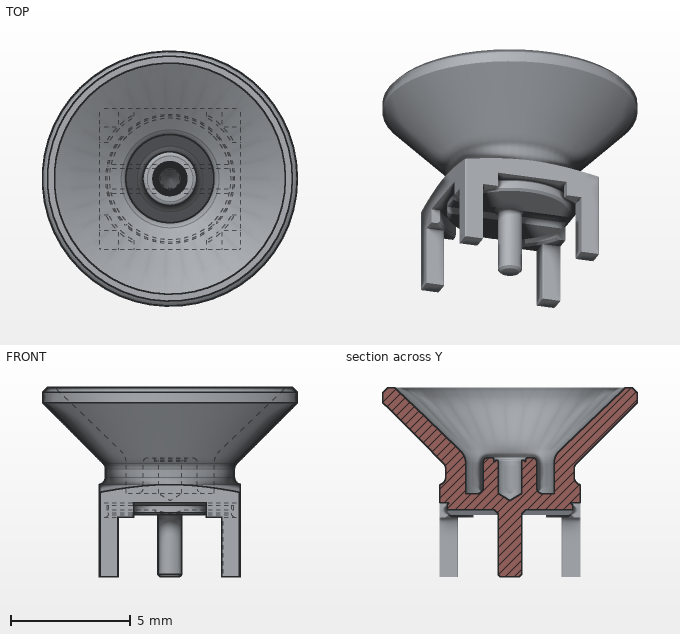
import cadquery as cq
import math

base_width = 5.92
base_corner_chamfer = 0.04
leg_width = 0.79
leg_inner_height = 2.5
window_width = 3.05
window_height = 3.11
shoulder_angle = 15.0
bore_radius = 3.0
bore_chamfer = 0.1

overall_height = 7.95
neck_radius = 2.71
neck_bottom_height = 4.17
neck_fillet = 0.3
rim_radius = 5.35
rim_bottom_height = 7.31
rim_chamfer = 0.21

mouth_radius = 4.85
cavity_radius = 1.85
throat_fillet = 0.7
throat_fillet_bottom = 4.78
cavity_floor_height = 3.5

post_radius = 1.13
post_height = 5.0
post_top_fillet = 0.17
post_foot_fillet = 0.25
recess_radius = 0.66
recess_chamfer = 0.05
contact_height = 4.9
contact_radius = 0.63
contact_chamfer = 0.05
socket_radius = 0.48
socket_chamfer = 0.04
socket_bottom = 3.5
socket_tip_angle = 118.0

bead_radius = 2.65
bead_bottom_height = 2.6
bead_chamfer = 0.1
channel_bottom_width = 1.22
channel_top_width = 0.86
channel_depth = 0.21

pin_radius = 0.5
pin_chamfer = 0.1
pin_flare_height = 2.64

half_width = base_width / 2
corner_radius = half_width * math.sqrt(2)
shoulder_slope = math.radians(shoulder_angle)
foot_radius = neck_radius + neck_fillet * (1 - math.sin(shoulder_slope))
foot_height = neck_bottom_height - neck_fillet * math.cos(shoulder_slope)
channel_top = bead_bottom_height + channel_depth
diagonal = math.sqrt(0.5)


def revolve(sketch):
    """Turn a closed (radius, height) outline about the Z axis."""
    return sketch.close().revolve(360, (0, 0, 0), (0, 1, 0))


def cylinder(radius, bottom, top):
    return cq.Workplane("XY").workplane(offset=bottom).circle(radius).extrude(top - bottom)


def centred_box(size_x, size_y, height):
    return cq.Workplane("XY").box(size_x, size_y, height, centered=(True, True, False))


def base_block(height):
    """Square prism of the base with slightly broken vertical corners."""
    return centred_box(base_width, base_width, height).edges("|Z").chamfer(base_corner_chamfer)


def make_bell():
    """Solid outside of the bell, down to the sloping shoulder of the base."""
    flare_offset = rim_radius - rim_bottom_height
    arc_centre_radius = neck_radius + neck_fillet
    flare_start_radius = arc_centre_radius - neck_fillet * diagonal
    flare_start_height = flare_start_radius - flare_offset
    neck_top_height = flare_start_height - neck_fillet * diagonal

    foot_mid_angle = math.pi + (math.pi / 2 - shoulder_slope) / 2
    foot_mid = (
        arc_centre_radius + neck_fillet * math.cos(foot_mid_angle),
        neck_bottom_height + neck_fillet * math.sin(foot_mid_angle),
    )
    flare_mid_angle = math.radians(180 - 45 / 2)
    flare_mid = (
        arc_centre_radius + neck_fillet * math.cos(flare_mid_angle),
        neck_top_height + neck_fillet * math.sin(flare_mid_angle),
    )
    shoulder_drop = (corner_radius - foot_radius) * math.tan(shoulder_slope)
    skirt_height = foot_height - shoulder_drop
    outline = (
        cq.Workplane("XZ")
        .moveTo(0, window_height)
        .lineTo(corner_radius, window_height)
        .lineTo(corner_radius, skirt_height)
        .lineTo(foot_radius, foot_height)
        .threePointArc(foot_mid, (neck_radius, neck_bottom_height))
        .lineTo(neck_radius, neck_top_height)
        .threePointArc(flare_mid, (flare_start_radius, flare_start_height))
        .lineTo(rim_radius, rim_bottom_height)
        .lineTo(rim_radius, overall_height - rim_chamfer)
        .lineTo(rim_radius - rim_chamfer, overall_height)
        .lineTo(0, overall_height)
    )
    square = base_block(neck_bottom_height)
    above = cylinder(rim_radius, neck_bottom_height, overall_height)
    return revolve(outline).intersect(square.union(above))


def make_legs():
    """Four legs with stepped brackets, hollowed by a round bore that widens between the legs."""
    gap = base_width - 2 * leg_width
    legs = base_block(window_height)
    for step_width, step_height in ((gap, leg_inner_height), (window_width, window_height)):
        legs = legs.cut(centred_box(step_width, base_width, step_height))
        legs = legs.cut(centred_box(base_width, step_width, step_height))
    bore = cylinder(bore_radius, leg_inner_height, window_height)
    lead_in = (
        cq.Workplane("XZ")
        .lineTo(bore_radius + bore_chamfer, 0)
        .lineTo(bore_radius + bore_chamfer, leg_inner_height)
        .lineTo(bore_radius, leg_inner_height + bore_chamfer)
        .lineTo(0, leg_inner_height + bore_chamfer)
    )
    return legs.cut(bore).cut(revolve(lead_in))


def make_cavity():
    """Conical mouth, rounded throat and the annular well around the post."""
    arc_centre_radius = cavity_radius + throat_fillet
    cone_end = (
        arc_centre_radius - throat_fillet * diagonal,
        throat_fillet_bottom + throat_fillet * diagonal,
    )
    throat_mid_angle = math.radians(180 - 45 / 2)
    throat_mid = (
        arc_centre_radius + throat_fillet * math.cos(throat_mid_angle),
        throat_fillet_bottom + throat_fillet * math.sin(throat_mid_angle),
    )
    foot_top = cavity_floor_height + post_foot_fillet
    top_fillet_start = post_height - post_top_fillet
    outline = (
        cq.Workplane("XZ")
        .moveTo(0, overall_height)
        .lineTo(mouth_radius, overall_height)
        .lineTo(*cone_end)
        .threePointArc(throat_mid, (cavity_radius, throat_fillet_bottom))
        .lineTo(cavity_radius, cavity_floor_height)
        .lineTo(post_radius + post_foot_fillet, cavity_floor_height)
        .threePointArc(
            (
                post_radius + post_foot_fillet * (1 - diagonal),
                foot_top - post_foot_fillet * diagonal,
            ),
            (post_radius, foot_top),
        )
        .lineTo(post_radius, top_fillet_start)
        .threePointArc(
            (
                post_radius - post_top_fillet * (1 - diagonal),
                top_fillet_start + post_top_fillet * diagonal,
            ),
            (post_radius - post_top_fillet, post_height),
        )
        .lineTo(0, post_height)
    )
    return revolve(outline)


def make_socket():
    """Recess in the post top around a chamfered tubular contact, and its drilled hole."""
    tip_height = socket_radius / math.tan(math.radians(socket_tip_angle / 2))
    recess_floor = contact_height - contact_chamfer
    outline = (
        cq.Workplane("XZ")
        .moveTo(0, post_height)
        .lineTo(recess_radius + recess_chamfer, post_height)
        .lineTo(recess_radius, post_height - recess_chamfer)
        .lineTo(recess_radius, recess_floor)
        .lineTo(contact_radius, recess_floor)
        .lineTo(contact_radius - contact_chamfer, contact_height)
        .lineTo(socket_radius + socket_chamfer, contact_height)
        .lineTo(socket_radius, contact_height - socket_chamfer)
        .lineTo(socket_radius, socket_bottom)
        .lineTo(0, socket_bottom - tip_height)
    )
    return revolve(outline)


def make_bead():
    """Chamfered disc with a channel of tapered section running along X."""
    bead = cylinder(bead_radius, bead_bottom_height, window_height).edges().chamfer(bead_chamfer)
    channel = (
        cq.Workplane("YZ")
        .moveTo(-channel_bottom_width / 2, bead_bottom_height)
        .lineTo(channel_bottom_width / 2, bead_bottom_height)
        .lineTo(channel_top_width / 2, channel_top)
        .lineTo(-channel_top_width / 2, channel_top)
        .close()
        .extrude(bead_radius, both=True)
    )
    return bead.cut(channel)


def make_pin():
    """Round pin with a chamfered tip, flaring out at 45 degrees into the bead."""
    flare_radius = pin_radius + channel_top - pin_flare_height
    outline = (
        cq.Workplane("XZ")
        .lineTo(pin_radius - pin_chamfer, 0)
        .lineTo(pin_radius, pin_chamfer)
        .lineTo(pin_radius, pin_flare_height)
        .lineTo(flare_radius, channel_top)
        .lineTo(0, channel_top)
    )
    return revolve(outline)


shell = make_bell().cut(make_cavity()).cut(make_socket())
result = shell.union(make_legs()).union(make_bead()).union(make_pin())